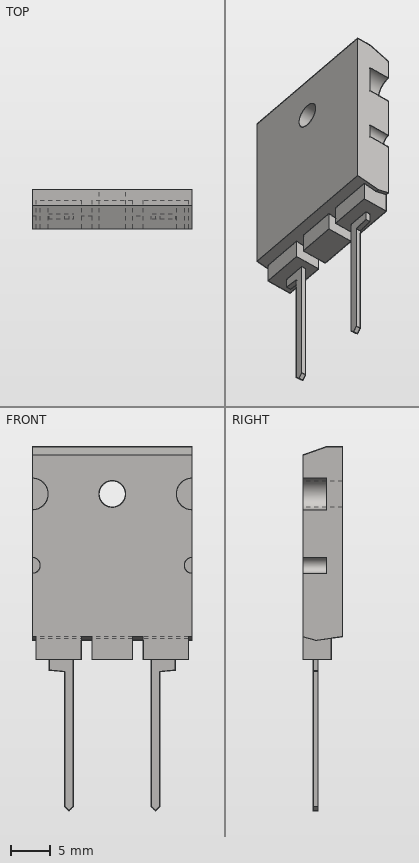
import cadquery as cq

height = 46.0
body_width = 20.2
body_depth = 5.0

bevel_depth = 3.0
bevel_drop = 1.05
bottom_edge_z = height - 24.0
bottom_ridge_z = bottom_edge_z - 0.45
bottom_ridge_y = 1.65

hole_diameter = 3.3
hole_z = height - 6.0
notch_depth = 3.0
large_notch_diameter = 4.0
small_notch_diameter = large_notch_diameter / 2
small_notch_z = height - 15.0

block_depth = 3.6
block_bottom_z = 19.1
center_block_width = 5.15
side_block_inner_x = 3.9
side_block_width = 5.75
block_overlap = 1.85

lead_x = 5.47
lead_width = 1.1
lead_thickness = 0.65
lead_front_y = 1.3
tip_height = 0.55
foot_outer_x = 7.95
foot_outer_z = 17.75
foot_inner_z = 17.55


def make_body():
    """Side profile in YZ, extruded across the full width."""
    profile = [
        (0, bottom_edge_z),
        (bottom_ridge_y, bottom_ridge_z),
        (body_depth, bottom_edge_z),
        (body_depth, height),
        (bevel_depth, height),
        (0, height - bevel_drop),
    ]
    return cq.Workplane("YZ").polyline(profile).close().extrude(body_width / 2, both=True)


def front_cylinder(x, z, diameter, depth):
    """Cylinder running from the front face toward +Y."""
    return cq.Workplane("XZ").center(x, z).circle(diameter / 2).extrude(-depth)


def make_block(left_x, width):
    """Block flush with the front face, reaching up into the body."""
    block_height = bottom_edge_z + block_overlap - block_bottom_z
    return cq.Workplane("XY").box(width, block_depth, block_height, centered=False).translate(
        (left_x, 0, block_bottom_z)
    )


def make_lead(side):
    """Pointed lead with an outward foot; side is -1 (left) or 1 (right)."""
    inner_x = lead_x - lead_width / 2
    outer_x = lead_x + lead_width / 2
    top_z = block_bottom_z + block_overlap
    profile = [
        (inner_x, top_z),
        (inner_x, tip_height),
        (lead_x, 0),
        (outer_x, tip_height),
        (outer_x, foot_inner_z),
        (foot_outer_x, foot_outer_z),
        (foot_outer_x, top_z),
    ]
    outline = [(side * x, z) for x, z in profile]
    lead = cq.Workplane("XZ").polyline(outline).close().extrude(-lead_thickness)
    return lead.translate((0, lead_front_y, 0))


body = make_body().cut(front_cylinder(0, hole_z, hole_diameter, body_depth))
for side in (-1, 1):
    edge_x = side * body_width / 2
    body = body.cut(front_cylinder(edge_x, hole_z, large_notch_diameter, notch_depth))
    body = body.cut(front_cylinder(edge_x, small_notch_z, small_notch_diameter, notch_depth))

result = body.union(make_block(-center_block_width / 2, center_block_width))
for left_x in (-side_block_inner_x - side_block_width, side_block_inner_x):
    result = result.union(make_block(left_x, side_block_width))
for side in (-1, 1):
    result = result.union(make_lead(side))